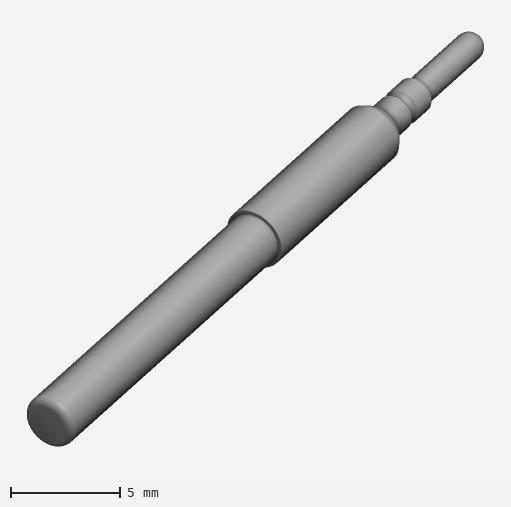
import cadquery as cq

TOTAL_LENGTH = 35.3

TIP_RADIUS = 0.7
COLLAR_RADIUS = 0.9
BODY_RADIUS = 1.5
ROD_RADIUS = 1.3

COLLAR_START = 5.0
GROOVE_START = 6.2
GROOVE_END = 6.75
BODY_START = 8.3
BODY_END = 18.3

GROOVE_DEPTH = 0.125
GROOVE_ARC_LENGTH = 0.32
COLLAR_CHAMFER_LENGTH = 0.1
COLLAR_CHAMFER_DEPTH = 0.053
BODY_CHAMFER_LENGTH = 0.35
BODY_CHAMFER_DEPTH = 0.2
END_FILLET = 0.4

TIP_Y = TOTAL_LENGTH / 2
END_Y = TIP_Y - TOTAL_LENGTH


def station(radius, distance):
    """Profile point at a radius and a distance back from the tip apex."""
    return (radius, TIP_Y - distance)


def arc_middle(center, radius, x_direction, y_direction):
    """Point halfway along a quarter arc in the given diagonal direction."""
    offset = radius * 0.5**0.5
    return (center[0] + x_direction * offset, center[1] + y_direction * offset)


def turned_pin():
    """Half profile revolved about the Y axis."""
    dome_center = station(0, TIP_RADIUS)
    fillet_center = (ROD_RADIUS - END_FILLET, END_Y + END_FILLET)
    arc_end = GROOVE_START + GROOVE_ARC_LENGTH
    arc_radius = (GROOVE_ARC_LENGTH**2 + GROOVE_DEPTH**2) / (2 * GROOVE_DEPTH)
    half_length = GROOVE_ARC_LENGTH / 2
    middle_rise = arc_radius - (arc_radius**2 - half_length**2) ** 0.5
    profile = (
        cq.Workplane("XY")
        .moveTo(0, TIP_Y)
        .threePointArc(arc_middle(dome_center, TIP_RADIUS, 1, 1), station(TIP_RADIUS, TIP_RADIUS))
        .lineTo(*station(TIP_RADIUS, COLLAR_START))
        .lineTo(*station(COLLAR_RADIUS - COLLAR_CHAMFER_DEPTH, COLLAR_START))
        .lineTo(*station(COLLAR_RADIUS, COLLAR_START + COLLAR_CHAMFER_LENGTH))
        .lineTo(*station(COLLAR_RADIUS, GROOVE_START))
        .threePointArc(
            station(COLLAR_RADIUS - GROOVE_DEPTH + middle_rise, arc_end - half_length),
            station(COLLAR_RADIUS - GROOVE_DEPTH, arc_end),
        )
        .lineTo(*station(COLLAR_RADIUS, GROOVE_END))
        .lineTo(*station(COLLAR_RADIUS, BODY_START))
        .lineTo(*station(BODY_RADIUS - BODY_CHAMFER_DEPTH, BODY_START))
        .lineTo(*station(BODY_RADIUS, BODY_START + BODY_CHAMFER_LENGTH))
        .lineTo(*station(BODY_RADIUS, BODY_END))
        .lineTo(*station(ROD_RADIUS, BODY_END))
        .lineTo(ROD_RADIUS, END_Y + END_FILLET)
        .threePointArc(
            arc_middle(fillet_center, END_FILLET, 1, -1),
            (ROD_RADIUS - END_FILLET, END_Y),
        )
        .lineTo(0, END_Y)
        .close()
    )
    return profile.revolve(360, (0, 0, 0), (0, 1, 0))


result = turned_pin()